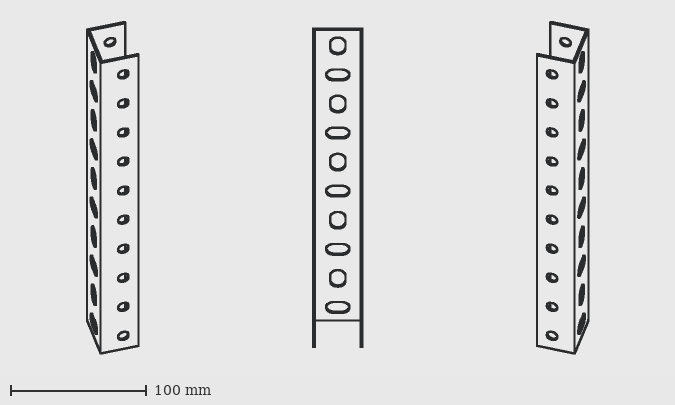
import cadquery as cq

length = 300.0
width = 36.5
depth = 29.0
thickness = 1.5

hole_count = 10
pitch = length / hole_count
top_margin = 16.5
slot_length = 17.0
slot_width = 11.0
flange_hole_diameter = 8.0
flange_hole_setback = 17.5

web_face_y = -depth / 2
flange_hole_y = web_face_y + flange_hole_setback
heights = [length / 2 - top_margin - i * pitch for i in range(hole_count)]


def channel():
    """U-shaped channel with its web on -Y and its open side on +Y."""
    outer = cq.Workplane("XY").box(width, depth, length)
    inner = cq.Workplane("XY").box(width - 2 * thickness, depth, length)
    return outer.cut(inner.translate((0, thickness, 0)))


def web_slots(slot_heights, angle):
    """Slot cutters through the web; an angle of 90 stands them upright."""
    return (
        cq.Workplane("XZ", origin=(0, web_face_y + thickness, 0))
        .pushPoints([(0, z) for z in slot_heights])
        .slot2D(slot_length, slot_width, angle)
        .extrude(thickness)
    )


def flange_holes():
    """Round cutters that pass through both flanges."""
    return (
        cq.Workplane("YZ")
        .pushPoints([(flange_hole_y, z) for z in heights])
        .circle(flange_hole_diameter / 2)
        .extrude(width / 2, both=True)
    )


result = (
    channel()
    .cut(web_slots(heights[0::2], 90))
    .cut(web_slots(heights[1::2], 0))
    .cut(flange_holes())
)